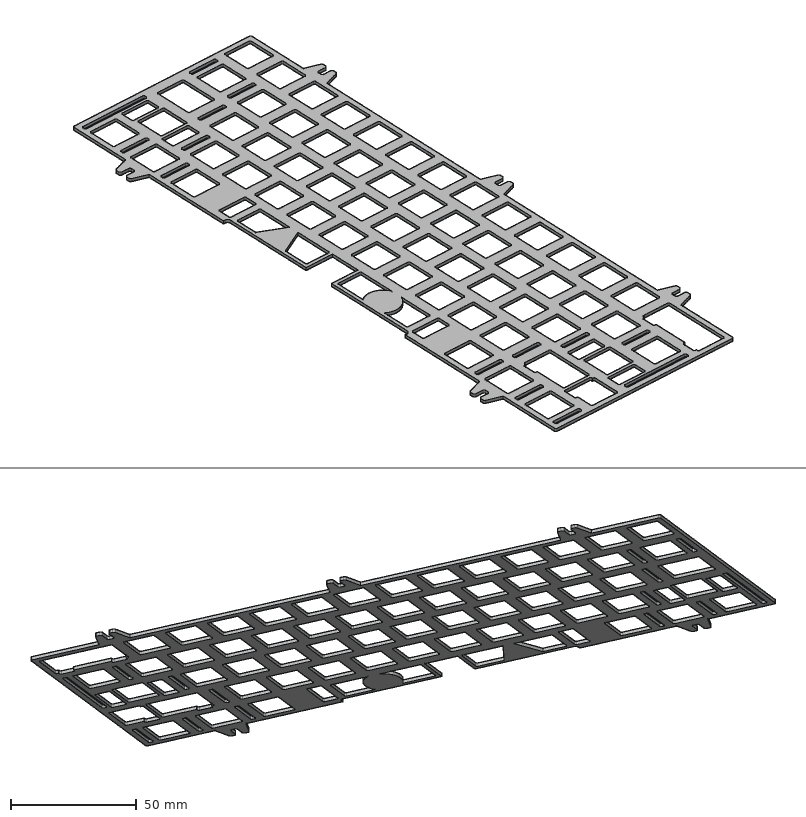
import cadquery as cq

UNIT = 19.05
COLUMNS = 15
ROWS = 5
THICKNESS = 1.5
PLATE_CORNER_RADIUS = 0.75

SWITCH_SIZE = 14.0
CUTOUT_RADIUS = 0.5

STABILIZER_WIDTH = 6.75
STABILIZER_SHORT_REACH = 6.0
STABILIZER_LONG_REACH = 8.2
STABILIZER_OFFSET = 11.938
SPACEBAR_STABILIZER_OFFSET = 3 * UNIT

FLEX_SLOT_WIDTH = 2.0
FLEX_SLOT_RADIUS = 0.5

TAB_HEIGHT = 7.8
TAB_BASE_WIDTH = 14.0
TAB_TIP_WIDTH = 8.6
TAB_TIP_RADIUS = 1.0
TAB_NOTCH_WIDTH = 3.0
TAB_NOTCH_DEPTH = 5.3
TAB_NOTCH_RADIUS = 0.75
TAB_OVERLAP = 1.0
SELECT_TOLERANCE = 0.001
TAB_COLUMNS_TOP = (2, 7.5, 13)
TAB_COLUMNS_BOTTOM = (2, 13)

SPACEBAR_BAR_WIDTH = 1.75
SPACEBAR_STEP = 2.4
STEP_RADIUS = 1.5
SPACEBAR_NOTCH_WIDTH = 15.0
WINDOW_OUTER_X = 50.35
SYMBOL_X = 30.5
TRIANGLE_TOP_WIDTH = 5.0
TRIANGLE_BOTTOM_WIDTH = 17.6
DISC_RADIUS = 8.0
DISC_DROP = 0.5

PLATE_LENGTH = COLUMNS * UNIT
PLATE_WIDTH = ROWS * UNIT
BOTTOM_EDGE = -PLATE_WIDTH / 2
HALF_SWITCH = SWITCH_SIZE / 2
HALF_SWITCH_UNITS = HALF_SWITCH / UNIT
SPACEBAR_COLUMN = COLUMNS / 2
SPACEBAR_ROW = ROWS - 1
STEP_HALF_LENGTH = SPACEBAR_STABILIZER_OFFSET - STABILIZER_WIDTH / 2
STABILIZER_REACH_UNITS = (STABILIZER_OFFSET + STABILIZER_WIDTH / 2) / UNIT

BACKSPACE = 14
SHORT_BACKSPACE = 13.5
ENTER = 13.875
LEFT_SHIFT = 1.125
RIGHT_SHIFT = 13.625
SHORT_RIGHT_SHIFT = 13.125
END_KEY = 14.5
TAB_KEY = 0.75
BACKSLASH = 14.25
STEPPED_CAPS = 0.625
CAPS = 0.875

BOTTOM_LEFT_KEYS = (TAB_KEY, 2, 3.25)
BOTTOM_RIGHT_KEYS = (11.75, 13, BACKSLASH)
NUMBER_KEYS = [0.5 + i for i in range(13)]
UPPER_LETTERS = [2 + i for i in range(12)]
HOME_LETTERS = [2.25 + i for i in range(11)]
LOWER_LETTERS = [2.75 + i for i in range(10)]

SWITCH_ROWS = (
    NUMBER_KEYS,
    [TAB_KEY, *UPPER_LETTERS, BACKSLASH],
    [*HOME_LETTERS, ENTER],
    [LEFT_SHIFT, *LOWER_LETTERS, END_KEY],
    [*BOTTOM_LEFT_KEYS, *BOTTOM_RIGHT_KEYS],
)

SHARED_SWITCHES = (
    (0, SHORT_BACKSPACE, END_KEY),
    (2, STEPPED_CAPS, CAPS),
    (3, SHORT_RIGHT_SHIFT, RIGHT_SHIFT),
)

STABILIZED_KEYS = ((0, BACKSPACE), (2, ENTER), (3, LEFT_SHIFT), (3, RIGHT_SHIFT))

TAB_LEFT_EDGE = TAB_KEY - HALF_SWITCH_UNITS
BACKSLASH_RIGHT_EDGE = BACKSLASH + HALF_SWITCH_UNITS
HOME_RIGHT_EDGE = HOME_LETTERS[-1] + HALF_SWITCH_UNITS
LOWER_LEFT_EDGE = LOWER_LETTERS[0] - HALF_SWITCH_UNITS
FLEX_SLOTS = [
    (1, 1, 0, TAB_LEFT_EDGE),
    (3, SPACEBAR_ROW, 0, TAB_LEFT_EDGE),
    (1, 2, BACKSLASH_RIGHT_EDGE, COLUMNS),
    (SPACEBAR_ROW, SPACEBAR_ROW, BACKSLASH_RIGHT_EDGE, COLUMNS),
    (1, 1, TAB_KEY, UPPER_LETTERS[0]),
    (1, 1, UPPER_LETTERS[-1], BACKSLASH),
    (2, 2, CAPS, HOME_LETTERS[0]),
    (2, 2, HOME_RIGHT_EDGE, ENTER - STABILIZER_REACH_UNITS),
    (3, 3, LEFT_SHIFT + STABILIZER_REACH_UNITS, LOWER_LEFT_EDGE),
    (3, 3, LOWER_LETTERS[-1], SHORT_RIGHT_SHIFT),
]
for bottom_keys in (BOTTOM_LEFT_KEYS, BOTTOM_RIGHT_KEYS):
    for left_key, right_key in zip(bottom_keys, bottom_keys[1:]):
        FLEX_SLOTS.append((SPACEBAR_ROW, SPACEBAR_ROW, left_key, right_key))


def column_x(column):
    """X of a position given in key units from the left edge."""
    return (column - COLUMNS / 2) * UNIT


def row_y(row):
    """Y of the centre line of a key row, row 0 being the top one."""
    return ((ROWS - 1) / 2 - row) * UNIT


def block(x_min, x_max, y_min, y_max, radius=0):
    """Full-thickness rectangular block with optional rounded vertical edges."""
    body = cq.Workplane("XY").box(x_max - x_min, y_max - y_min, THICKNESS)
    if radius:
        body = body.edges("|Z").fillet(radius)
    return body.translate(((x_min + x_max) / 2, (y_min + y_max) / 2, 0))


def extrude_outline(points):
    """Full-thickness body with a straight-sided outline."""
    base = cq.Workplane("XY").workplane(offset=-THICKNESS / 2)
    return base.polyline(points).close().extrude(THICKNESS)


def switch_cutout(row, first, last):
    """Switch cutout reaching from the key centre `first` to the key centre `last`."""
    y = row_y(row)
    x_min = column_x(first) - HALF_SWITCH
    x_max = column_x(last) + HALF_SWITCH
    return block(x_min, x_max, y - HALF_SWITCH, y + HALF_SWITCH, CUTOUT_RADIUS)


def stabilizer_cutouts(row, column, offset, wire_side):
    """Pair of stabilizer cutouts; wire_side is -1 for a wire below the key, +1 above."""
    y = row_y(row)
    y_limits = sorted((y + wire_side * STABILIZER_LONG_REACH, y - wire_side * STABILIZER_SHORT_REACH))
    half = STABILIZER_WIDTH / 2
    cutouts = []
    for side in (-1, 1):
        x = column_x(column) + side * offset
        cutouts.append(block(x - half, x + half, *y_limits, CUTOUT_RADIUS))
    return cutouts


def flex_slot(first_row, last_row, left, right):
    """Narrow slot midway between two positions, spanning the given rows."""
    x = column_x((left + right) / 2)
    half = FLEX_SLOT_WIDTH / 2
    y_min = row_y(last_row) - HALF_SWITCH
    y_max = row_y(first_row) + HALF_SWITCH
    return block(x - half, x + half, y_min, y_max, FLEX_SLOT_RADIUS)


def fillet_edges_at(body, y, radius):
    """Round the vertical edges of a body that lie on the line Y = y."""
    low = (-TAB_BASE_WIDTH, y - SELECT_TOLERANCE, -THICKNESS)
    high = (TAB_BASE_WIDTH, y + SELECT_TOLERANCE, THICKNESS)
    return body.edges("|Z").edges(cq.selectors.BoxSelector(low, high)).fillet(radius)


def mounting_tab():
    """Notched, tapered tab pointing to +Y from the plate edge at Y = 0."""
    half_base = TAB_BASE_WIDTH / 2
    half_tip = TAB_TIP_WIDTH / 2
    half_notch = TAB_NOTCH_WIDTH / 2
    notch_floor = TAB_HEIGHT - TAB_NOTCH_DEPTH
    tab = extrude_outline([
        (-half_base, -TAB_OVERLAP),
        (-half_base, 0),
        (-half_tip, TAB_HEIGHT),
        (half_tip, TAB_HEIGHT),
        (half_base, 0),
        (half_base, -TAB_OVERLAP),
    ])
    tab = tab.cut(block(-half_notch, half_notch, notch_floor, TAB_HEIGHT))
    tab = fillet_edges_at(tab, TAB_HEIGHT, TAB_TIP_RADIUS)
    return fillet_edges_at(tab, notch_floor, TAB_NOTCH_RADIUS)


def add_tabs(plate):
    tab = mounting_tab()
    for column in TAB_COLUMNS_TOP:
        plate = plate.union(tab.translate((column_x(column), PLATE_WIDTH / 2, 0)))
    flipped = tab.rotate((0, 0, 0), (0, 0, 1), 180)
    for column in TAB_COLUMNS_BOTTOM:
        plate = plate.union(flipped.translate((column_x(column), BOTTOM_EDGE, 0)))
    return plate


def cut_spacebar_area(plate):
    """Set-back edge, central notch and the two windows with a triangle and a disc left in."""
    row_top = row_y(SPACEBAR_ROW) + HALF_SWITCH
    step_y = BOTTOM_EDGE + SPACEBAR_STEP
    window_bottom = step_y + SPACEBAR_BAR_WIDTH
    half_notch = SPACEBAR_NOTCH_WIDTH / 2
    window_inner_x = half_notch + SPACEBAR_BAR_WIDTH

    step = block(-STEP_HALF_LENGTH, STEP_HALF_LENGTH, BOTTOM_EDGE - STEP_RADIUS, step_y, STEP_RADIUS)
    notch = block(-half_notch, half_notch, BOTTOM_EDGE, row_top)

    triangle = extrude_outline([
        (-SYMBOL_X - TRIANGLE_BOTTOM_WIDTH / 2, window_bottom),
        (-SYMBOL_X + TRIANGLE_BOTTOM_WIDTH / 2, window_bottom),
        (-SYMBOL_X + TRIANGLE_TOP_WIDTH / 2, row_top),
        (-SYMBOL_X - TRIANGLE_TOP_WIDTH / 2, row_top),
    ])
    disc = cq.Workplane("XY").circle(DISC_RADIUS).extrude(THICKNESS / 2, both=True)
    disc = disc.translate((SYMBOL_X, row_y(SPACEBAR_ROW) - DISC_DROP, 0))

    left_window = block(-WINDOW_OUTER_X, -window_inner_x, window_bottom, row_top, CUTOUT_RADIUS)
    right_window = block(window_inner_x, WINDOW_OUTER_X, window_bottom, row_top, CUTOUT_RADIUS)
    plate = plate.cut(step).cut(notch)
    return plate.cut(left_window.cut(triangle)).cut(right_window.cut(disc))


def all_cutouts():
    cutouts = []
    for row, centres in enumerate(SWITCH_ROWS):
        cutouts += [switch_cutout(row, centre, centre) for centre in centres]
    cutouts += [switch_cutout(*shared) for shared in SHARED_SWITCHES]
    for row, column in STABILIZED_KEYS:
        cutouts += stabilizer_cutouts(row, column, STABILIZER_OFFSET, -1)
    cutouts += stabilizer_cutouts(SPACEBAR_ROW, SPACEBAR_COLUMN, SPACEBAR_STABILIZER_OFFSET, 1)
    cutouts += [flex_slot(*slot) for slot in FLEX_SLOTS]
    return cutouts


plate = block(-PLATE_LENGTH / 2, PLATE_LENGTH / 2, BOTTOM_EDGE, PLATE_WIDTH / 2, PLATE_CORNER_RADIUS)
plate = add_tabs(plate)
plate = cut_spacebar_area(plate)
for cutout in all_cutouts():
    plate = plate.cut(cutout)
result = plate